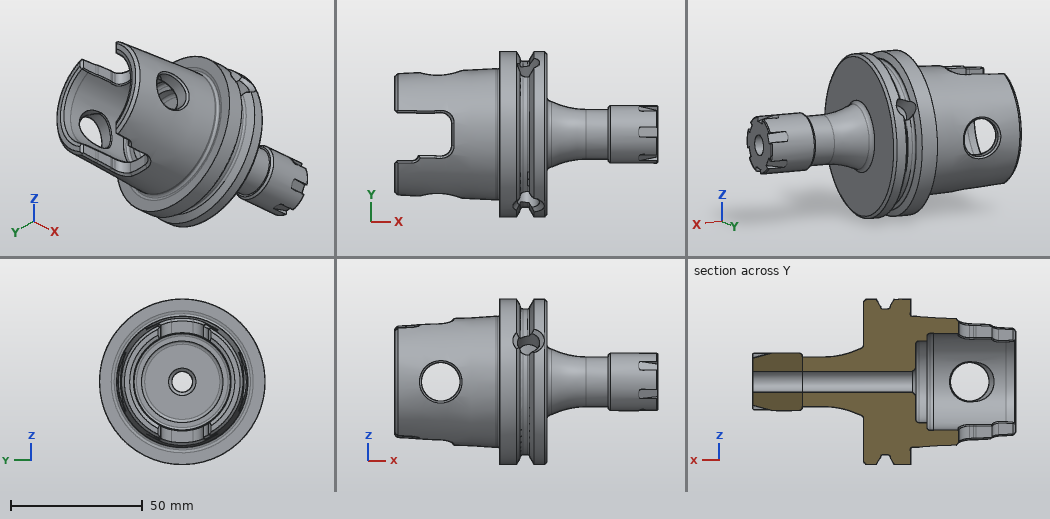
import cadquery as cq
import math


LENGTH = 99.95
FLANGE_START = 39.9
FLANGE_END = 57.9
NECK_STRAIGHT_START = 72.8
NUT_START = 81.1

MOUTH_OUTER_RADIUS = 22.0
MOUTH_CHAMFER_LENGTH = 1.2
TAPER_START_RADIUS = 23.1
TAPER_END = 38.5
TAPER_END_RADIUS = 25.0
RELIEF_START = 39.1
RELIEF_RADIUS = 24.9
FACE_GROOVE_FILLET = 1.0
FACE_GROOVE_RADIUS = 27.0

FLANGE_RADIUS = 31.5
FLANGE_CHAMFER = 1.0
GRIP_FLOOR_RADIUS = 27.8
GRIP_LEFT_EDGE = 46.3
GRIP_LEFT_WALL = 47.7
GRIP_LEFT_FILLET = 1.0
GRIP_RIGHT_EDGE = 53.0
GRIP_RIGHT_FILLET = 0.8
GRIP_FLANK_ANGLE = math.radians(60)

NECK_RADIUS = 9.5
NECK_FOOT_RADIUS = 13.8
NECK_FOOT_FILLET = 2.0
NECK_SWEEP_START = 59.6
NECK_SWEEP_START_RADIUS = 12.5
NECK_SWEEP_RADIUS = 31.0

MOUTH_INNER_RADIUS = 20.0
ENTRY_RADIUS = 18.6
ENTRY_CHAMFER_LENGTH = 0.5
ENTRY_TAPER_END = 3.7
BORE_RADIUS = 18.3
BORE_STEP = 31.2
BORE_END_RADIUS = 18.4
BORE_FLOOR = 33.7
BORE_FLOOR_FILLET = 1.0
RECESS_RADIUS = 15.5
RECESS_FLOOR = 38.0
RECESS_FLOOR_FILLET = 1.2
THROUGH_RADIUS = 3.9
THROUGH_CHAMFER = 1.3

SLOT_END = 21.6
SLOT_HALF_WIDTH = 8.2
SLOT_CORNER_RADIUS = 4.1
SLOT_MOUTH_CHAMFER = 1.0
SLOT_RIM_CHAMFER = 1.0
SLOT_RIM_MIN_Z = 20.0
LAND_HALF_WIDTH = 8.0
LAND_END = 16.0
LAND_RAMP = 0.8
PLAIN_LAND_START = 7.5
STEP_HALF_WIDTH = 10.0
STEP_START = 6.5
STEP_LAND_START = 9.0

CROSS_HOLE_X = 17.5
CROSS_HOLE_RADIUS = 7.3
CROSS_HOLE_CHAMFER = 0.8
INNER_RIM_CHAMFER = 0.4
KEY_RELIEF_RADIUS = 7.6
KEY_RELIEF_TILT = 40.0
KEY_RELIEF_START = 17.5
KEY_RELIEF_LENGTH = 9.0

GRIP_HOLE_X = 50.9
GRIP_HOLE_TILT = 30.0
GRIP_HOLE_RADIUS = 4.2
GRIP_HOLE_BOTTOM = 21.0
GRIP_HOLE_TIP_ANGLE = math.radians(59)
COUNTERSINK_RADIUS = 6.0
CUT_OVERSHOOT = 1.0

NUT_RADIUS = 11.0
NUT_BACK_RADIUS = 10.2
NUT_BACK_CHAMFER_LENGTH = 0.9
NUT_FRONT_CHAMFER = 0.4
NUT_SLOT_COUNT = 6
NUT_SLOT_WIDTH = 3.9
NUT_SLOT_START = 92.6
NUT_SLOT_DEPTH = 2.0
NUT_SLOT_TURN = 4.7

AXIS_START = (0, 0, 0)
AXIS_END = (1, 0, 0)


def revolve_about_x(profile):
    return profile.close().revolve(360, AXIS_START, AXIS_END)


def make_outer_body():
    """Solid of revolution for shank, flange and neck."""
    run_out = FACE_GROOVE_FILLET * math.sin(math.radians(45))
    groove_bottom = RELIEF_START + FACE_GROOVE_FILLET
    left_drop = (GRIP_LEFT_WALL - GRIP_LEFT_EDGE) * math.tan(GRIP_FLANK_ANGLE)
    right_corner_radius = GRIP_FLOOR_RADIUS + GRIP_RIGHT_FILLET
    flank_run = (FLANGE_RADIUS - right_corner_radius) / math.tan(GRIP_FLANK_ANGLE)
    right_corner = GRIP_RIGHT_EDGE - flank_run
    profile = (
        cq.Workplane("XY")
        .moveTo(0, 0)
        .lineTo(0, MOUTH_OUTER_RADIUS)
        .lineTo(MOUTH_CHAMFER_LENGTH, TAPER_START_RADIUS)
        .lineTo(TAPER_END, TAPER_END_RADIUS)
        .lineTo(RELIEF_START, RELIEF_RADIUS)
        .threePointArc(
            (RELIEF_START + run_out, RELIEF_RADIUS + FACE_GROOVE_FILLET - run_out),
            (groove_bottom, RELIEF_RADIUS + FACE_GROOVE_FILLET),
        )
        .lineTo(FLANGE_START, FACE_GROOVE_RADIUS)
        .lineTo(FLANGE_START, FLANGE_RADIUS)
        .lineTo(GRIP_LEFT_EDGE, FLANGE_RADIUS)
        .lineTo(GRIP_LEFT_WALL, FLANGE_RADIUS - left_drop)
        .lineTo(GRIP_LEFT_WALL, GRIP_FLOOR_RADIUS + GRIP_LEFT_FILLET)
        .radiusArc((GRIP_LEFT_WALL + GRIP_LEFT_FILLET, GRIP_FLOOR_RADIUS), -GRIP_LEFT_FILLET)
        .lineTo(right_corner - GRIP_RIGHT_FILLET, GRIP_FLOOR_RADIUS)
        .radiusArc((right_corner, right_corner_radius), -GRIP_RIGHT_FILLET)
        .lineTo(GRIP_RIGHT_EDGE, FLANGE_RADIUS)
        .lineTo(FLANGE_END - FLANGE_CHAMFER, FLANGE_RADIUS)
        .lineTo(FLANGE_END, FLANGE_RADIUS - FLANGE_CHAMFER)
        .lineTo(FLANGE_END, NECK_FOOT_RADIUS)
        .radiusArc((NECK_SWEEP_START, NECK_SWEEP_START_RADIUS), -NECK_FOOT_FILLET)
        .radiusArc((NECK_STRAIGHT_START, NECK_RADIUS), -NECK_SWEEP_RADIUS)
        .lineTo(NUT_START, NECK_RADIUS)
        .lineTo(NUT_START, 0)
    )
    return revolve_about_x(profile)


def make_bore():
    """Stepped bore: wide shank cavity, shallow recess and the through hole."""
    profile = (
        cq.Workplane("XY")
        .moveTo(0, 0)
        .lineTo(0, MOUTH_INNER_RADIUS)
        .lineTo(ENTRY_CHAMFER_LENGTH, ENTRY_RADIUS)
        .lineTo(ENTRY_TAPER_END, BORE_RADIUS)
        .lineTo(BORE_STEP, BORE_RADIUS)
        .lineTo(BORE_STEP, BORE_END_RADIUS)
        .lineTo(BORE_FLOOR - BORE_FLOOR_FILLET, BORE_END_RADIUS)
        .radiusArc((BORE_FLOOR, BORE_END_RADIUS - BORE_FLOOR_FILLET), BORE_FLOOR_FILLET)
        .lineTo(BORE_FLOOR, RECESS_RADIUS)
        .lineTo(RECESS_FLOOR - RECESS_FLOOR_FILLET, RECESS_RADIUS)
        .radiusArc((RECESS_FLOOR, RECESS_RADIUS - RECESS_FLOOR_FILLET), RECESS_FLOOR_FILLET)
        .lineTo(RECESS_FLOOR, THROUGH_RADIUS + THROUGH_CHAMFER)
        .lineTo(RECESS_FLOOR + THROUGH_CHAMFER, THROUGH_RADIUS)
        .lineTo(NUT_START, THROUGH_RADIUS)
        .lineTo(NUT_START, 0)
    )
    return revolve_about_x(profile)


def make_slots():
    """Both drive slots: one vertical prism from side to side."""
    step_radius = STEP_LAND_START - STEP_START
    corner = SLOT_CORNER_RADIUS
    mouth = SLOT_MOUTH_CHAMFER
    outline = (
        cq.Workplane("XY")
        .moveTo(0, SLOT_HALF_WIDTH + mouth)
        .lineTo(mouth, SLOT_HALF_WIDTH)
        .lineTo(PLAIN_LAND_START, SLOT_HALF_WIDTH)
        .lineTo(PLAIN_LAND_START + LAND_RAMP, LAND_HALF_WIDTH)
        .lineTo(LAND_END - LAND_RAMP, LAND_HALF_WIDTH)
        .lineTo(LAND_END, SLOT_HALF_WIDTH)
        .lineTo(SLOT_END - corner, SLOT_HALF_WIDTH)
        .radiusArc((SLOT_END, SLOT_HALF_WIDTH - corner), corner)
        .lineTo(SLOT_END, corner - SLOT_HALF_WIDTH)
        .radiusArc((SLOT_END - corner, -SLOT_HALF_WIDTH), corner)
        .lineTo(LAND_END, -SLOT_HALF_WIDTH)
        .lineTo(LAND_END - LAND_RAMP, -LAND_HALF_WIDTH)
        .lineTo(STEP_LAND_START, -LAND_HALF_WIDTH)
        .radiusArc((STEP_START, -STEP_HALF_WIDTH), step_radius)
        .lineTo(mouth, -STEP_HALF_WIDTH)
        .lineTo(0, -STEP_HALF_WIDTH - mouth)
        .close()
    )
    return outline.extrude(FLANGE_RADIUS, both=True)


def taper_edges(body, is_wanted):
    """Edges of the outer taper face whose centre passes the test."""
    taper_faces = body.faces("%CONE").vals()
    taper = max(taper_faces, key=lambda face: face.Area())
    return body.newObject([edge for edge in taper.Edges() if is_wanted(edge.Center())])


def cut_slots(body):
    """Cut the drive slots and bevel their rims on the taper."""
    slotted = body.cut(make_slots())

    def on_slot_rim(point):
        between_ends = MOUTH_CHAMFER_LENGTH < point.x <= SLOT_END
        return between_ends and abs(point.z) > SLOT_RIM_MIN_Z

    return taper_edges(slotted, on_slot_rim).chamfer(SLOT_RIM_CHAMFER)


def make_key_relief():
    """Slanting drill from the +Y end of the cross hole inward toward the shank mouth."""
    tilt = math.radians(KEY_RELIEF_TILT)
    start = cq.Vector(CROSS_HOLE_X, KEY_RELIEF_START, 0)
    inward = cq.Vector(-math.sin(tilt), -math.cos(tilt), 0)
    return cq.Workplane(cq.Solid.makeCylinder(KEY_RELIEF_RADIUS, KEY_RELIEF_LENGTH, start, inward))


def cut_cross_hole(body):
    """Cut the cross hole and bevel both of its outer rims."""
    drill = (
        cq.Workplane("XZ")
        .center(CROSS_HOLE_X, 0)
        .circle(CROSS_HOLE_RADIUS)
        .extrude(FLANGE_RADIUS, both=True)
    )
    drilled = body.cut(drill)

    def on_hole_rim(point):
        reach = math.hypot(point.x - CROSS_HOLE_X, point.z)
        return reach < CROSS_HOLE_RADIUS

    return taper_edges(drilled, on_hole_rim).chamfer(CROSS_HOLE_CHAMFER)


def bevel_bore_rims(body):
    """Bevel the edges where slots and cross hole break into the cylindrical bore."""
    bore_faces = [
        face
        for face in body.faces("%CYLINDER").vals()
        if abs(face.BoundingBox().xmax - BORE_STEP) < 0.01 and face.BoundingBox().xmin < SLOT_END
    ]
    rims = [
        edge
        for face in bore_faces
        for edge in face.Edges()
        if ENTRY_TAPER_END + 0.01 < edge.Center().x < BORE_STEP - 0.01
    ]
    return body.newObject(rims).chamfer(INNER_RIM_CHAMFER)


def make_grip_hole(side, countersunk):
    """Blind drilled hole pointing outward to side * Y and tilted up toward +Z."""
    tip = GRIP_HOLE_RADIUS / math.tan(GRIP_HOLE_TIP_ANGLE)
    profile = (
        cq.Workplane("XY")
        .moveTo(0, GRIP_HOLE_BOTTOM - tip)
        .lineTo(GRIP_HOLE_RADIUS, GRIP_HOLE_BOTTOM)
    )
    if countersunk:
        sink_start = FLANGE_RADIUS - (COUNTERSINK_RADIUS - GRIP_HOLE_RADIUS)
        profile = profile.lineTo(GRIP_HOLE_RADIUS, sink_start)
        mouth_radius = COUNTERSINK_RADIUS + CUT_OVERSHOOT
    else:
        mouth_radius = GRIP_HOLE_RADIUS
    mouth = FLANGE_RADIUS + CUT_OVERSHOOT
    profile = profile.lineTo(mouth_radius, mouth).lineTo(0, mouth)
    drill = profile.close().revolve(360, (0, 0, 0), (0, 1, 0))
    drill = drill.rotate(AXIS_START, AXIS_END, GRIP_HOLE_TILT)
    if side < 0:
        drill = drill.mirror("XZ")
    return drill.translate((GRIP_HOLE_X, 0, 0))


def make_holder():
    body = make_outer_body().cut(make_bore())
    body = cut_slots(body)
    body = cut_cross_hole(body)
    body = bevel_bore_rims(body)
    relief = make_key_relief()
    body = body.cut(relief).cut(relief.mirror("XZ"))
    body = body.cut(make_grip_hole(-1, countersunk=True))
    return body.cut(make_grip_hole(1, countersunk=False))


def make_nut_slot():
    """Wrench slot along the top of the nut, deepening steadily toward the front."""
    return (
        cq.Workplane("XZ")
        .moveTo(NUT_SLOT_START, NUT_RADIUS)
        .lineTo(LENGTH, NUT_RADIUS - NUT_SLOT_DEPTH)
        .lineTo(LENGTH, NUT_RADIUS)
        .close()
        .extrude(NUT_SLOT_WIDTH / 2, both=True)
    )


def make_nut():
    profile = (
        cq.Workplane("XY")
        .moveTo(NUT_START, THROUGH_RADIUS)
        .lineTo(NUT_START, NUT_BACK_RADIUS)
        .lineTo(NUT_START + NUT_BACK_CHAMFER_LENGTH, NUT_RADIUS)
        .lineTo(LENGTH - NUT_FRONT_CHAMFER, NUT_RADIUS)
        .lineTo(LENGTH, NUT_RADIUS - NUT_FRONT_CHAMFER)
        .lineTo(LENGTH, THROUGH_RADIUS)
    )
    body = revolve_about_x(profile)
    slot = make_nut_slot()
    for index in range(NUT_SLOT_COUNT):
        turn = index * 360 / NUT_SLOT_COUNT - NUT_SLOT_TURN
        body = body.cut(slot.rotate(AXIS_START, AXIS_END, turn))
    return body


holder = make_holder()
nut = make_nut()
result = cq.Compound.makeCompound([holder.val(), nut.val()])